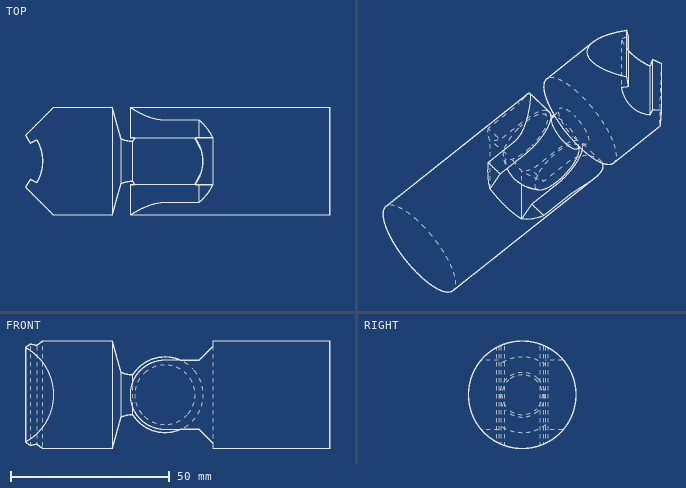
import cadquery as cq
import math

length = 96.0
radius = 17.0
diameter = 2 * radius

tip_half_width = 8.2
lip_x = 1.5
lip_half_width = 5.7
groove_edge_x = 3.6
groove_half_width = 6.7
groove_floor_x = 5.4
head_edge_x = 27.4
head_end_x = 30.1
cone_end_radius = 7.3

ball_x = 44.0
ball_radius = 12.0
neck_start_radius = 7.1
neck_end_radius = 6.3
neck_sag = 0.2
neck_end_x = ball_x - math.sqrt(ball_radius**2 - neck_end_radius**2)

arm_radius = 10.9
arm_start_x = ball_x - arm_radius
shoulder_x = 54.7
slot_end_x = 59.1
slot_half_width = 7.4
shoulder_half_height = arm_radius + slot_end_x - shoulder_x


def make_head():
    """Coned cylinder with a pointed front and a lipped groove running along Z."""
    body = (
        cq.Workplane("XZ")
        .polyline([(0, 0), (0, radius), (head_edge_x, radius), (head_end_x, cone_end_radius), (head_end_x, 0)])
        .close()
        .revolve(360, (0, 0, 0), (1, 0, 0))
    )
    bevel_end_x = radius - tip_half_width
    plan = (
        cq.Workplane("XY")
        .moveTo(groove_edge_x, groove_half_width)
        .lineTo(lip_x, lip_half_width)
        .lineTo(0, tip_half_width)
        .lineTo(bevel_end_x, radius)
        .lineTo(head_end_x, radius)
        .lineTo(head_end_x, -radius)
        .lineTo(bevel_end_x, -radius)
        .lineTo(0, -tip_half_width)
        .lineTo(lip_x, -lip_half_width)
        .lineTo(groove_edge_x, -groove_half_width)
        .threePointArc((groove_floor_x, 0), (groove_edge_x, groove_half_width))
        .close()
        .extrude(radius, both=True)
    )
    return body.intersect(plan)


def make_ball_stud():
    """Ball with a waisted neck reaching back to the head."""
    neck_middle = ((head_end_x + neck_end_x) / 2, (neck_start_radius + neck_end_radius) / 2 - neck_sag)
    neck = (
        cq.Workplane("XZ")
        .moveTo(head_end_x, 0)
        .lineTo(head_end_x, neck_start_radius)
        .threePointArc(neck_middle, (neck_end_x, neck_end_radius))
        .lineTo(ball_x, neck_end_radius)
        .lineTo(ball_x, 0)
        .close()
        .revolve(360, (0, 0, 0), (1, 0, 0))
    )
    ball = cq.Workplane("XY").sphere(ball_radius).translate((ball_x, 0, 0))
    return ball.union(neck)


def make_fork():
    """Cylinder narrowed to two round-ended arms, with an open slot between them."""
    shaft = cq.Workplane("YZ").workplane(offset=arm_start_x).circle(radius).extrude(length - arm_start_x)
    side_outline = (
        cq.Workplane("XZ")
        .moveTo(ball_x, arm_radius)
        .lineTo(shoulder_x, arm_radius)
        .lineTo(slot_end_x, shoulder_half_height)
        .lineTo(slot_end_x, radius)
        .lineTo(length, radius)
        .lineTo(length, -radius)
        .lineTo(slot_end_x, -radius)
        .lineTo(slot_end_x, -shoulder_half_height)
        .lineTo(shoulder_x, -arm_radius)
        .lineTo(ball_x, -arm_radius)
        .threePointArc((arm_start_x, 0), (ball_x, arm_radius))
        .close()
        .extrude(radius, both=True)
    )
    slot_length = slot_end_x - arm_start_x
    slot = cq.Workplane("XY").box(slot_length, 2 * slot_half_width, diameter, centered=(False, True, True))
    return shaft.intersect(side_outline).cut(slot.translate((arm_start_x, 0, 0)))


result = make_head().union(make_ball_stud()).union(make_fork())